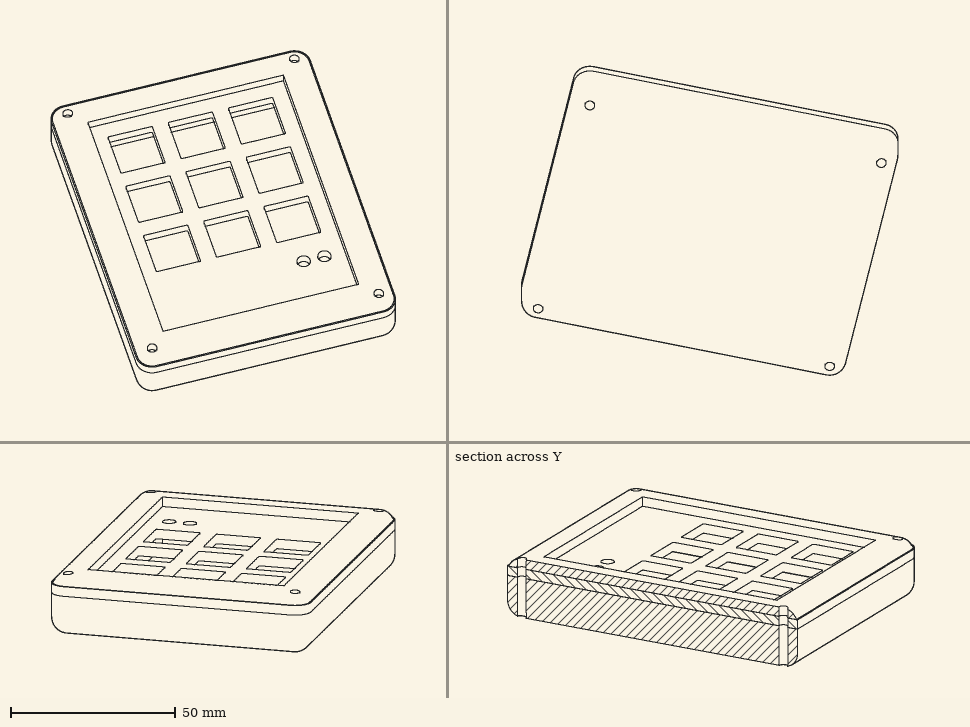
import cadquery as cq

LENGTH = 101.0
WIDTH = 82.0
HEIGHT = 19.0
ROUNDING = 5.0

PLATE_THICKNESS = 3.0
FRAME_THICKNESS = 3.0
TRAY_HEIGHT = HEIGHT - PLATE_THICKNESS - FRAME_THICKNESS
TRAY_FLOOR = 3.0
RIM = 10.0

SCREW_HOLE_DIAMETER = 2.9

KEY_COUNT = 3
KEY_SIZE = 14.0
KEY_PITCH = 19.1
KEY_CORNER_RADIUS = 0.4
KEY_MARGIN = 4.9
KEY_FIELD_SIZE = (KEY_COUNT - 1) * KEY_PITCH + KEY_SIZE
KEY_FIELD_X = -LENGTH / 2 + RIM + KEY_MARGIN + KEY_FIELD_SIZE / 2

LIGHT_HOLE_DIAMETER = 4.0
LIGHT_X = 25.6
LIGHT_FIRST_Y = 24.5
LIGHT_PITCH = 6.6
LIGHT_COUNT = 2


def upright_block(height, base_z):
    """Block with the case outline and rounded vertical edges."""
    block = cq.Workplane("XY").box(LENGTH, WIDTH, height, centered=(True, True, False))
    return block.edges("|Z").fillet(ROUNDING).translate((0, 0, base_z))


def rim_opening(height, base_z):
    """Rectangular void left inside the rim."""
    opening = cq.Workplane("XY").box(
        LENGTH - 2 * RIM, WIDTH - 2 * RIM, height, centered=(True, True, False)
    )
    return opening.translate((0, 0, base_z))


def screw_holes():
    """Four vertical cylinders that run through the whole stack."""
    return (
        cq.Workplane("XY")
        .rect(LENGTH - 2 * ROUNDING, WIDTH - 2 * ROUNDING, forConstruction=True)
        .vertices()
        .circle(SCREW_HOLE_DIAMETER / 2)
        .extrude(HEIGHT)
    )


def key_openings():
    """Grid of square prisms that cut the key openings."""
    return (
        cq.Workplane("XY", origin=(KEY_FIELD_X, 0, TRAY_HEIGHT))
        .rarray(KEY_PITCH, KEY_PITCH, KEY_COUNT, KEY_COUNT)
        .rect(KEY_SIZE, KEY_SIZE)
        .extrude(PLATE_THICKNESS)
        .edges("|Z")
        .fillet(KEY_CORNER_RADIUS)
    )


def light_holes():
    """Row of cylinders that cut the indicator light holes."""
    centers = [(LIGHT_X, LIGHT_FIRST_Y - i * LIGHT_PITCH) for i in range(LIGHT_COUNT)]
    return (
        cq.Workplane("XY", origin=(0, 0, TRAY_HEIGHT))
        .pushPoints(centers)
        .circle(LIGHT_HOLE_DIAMETER / 2)
        .extrude(PLATE_THICKNESS)
    )


def make_tray():
    """Lower shell: thick walls, flat floor and a rounded underside."""
    shell = upright_block(TRAY_HEIGHT, 0).faces("<Z").edges().fillet(ROUNDING)
    cavity = rim_opening(TRAY_HEIGHT - TRAY_FLOOR, TRAY_FLOOR)
    return shell.cut(cavity).cut(screw_holes())


def make_key_plate():
    """Flat plate between tray and frame, pierced for keys and lights."""
    plate = upright_block(PLATE_THICKNESS, TRAY_HEIGHT)
    return plate.cut(key_openings()).cut(light_holes()).cut(screw_holes())


def make_frame():
    """Top border: its outer edge is the upper part of a full quarter-round,
    cut off before it turns vertical, so the plate stands out slightly below it."""
    frame_z = HEIGHT - FRAME_THICKNESS
    rounded_case = upright_block(HEIGHT, 0).faces(">Z").edges().fillet(ROUNDING)
    top_slice = cq.Workplane("XY").box(LENGTH, WIDTH, FRAME_THICKNESS, centered=(True, True, False))
    frame = rounded_case.intersect(top_slice.translate((0, 0, frame_z)))
    return frame.cut(rim_opening(FRAME_THICKNESS, frame_z)).cut(screw_holes())


tray = make_tray()
key_plate = make_key_plate()
frame = make_frame()

result = cq.Compound.makeCompound([tray.val(), key_plate.val(), frame.val()])